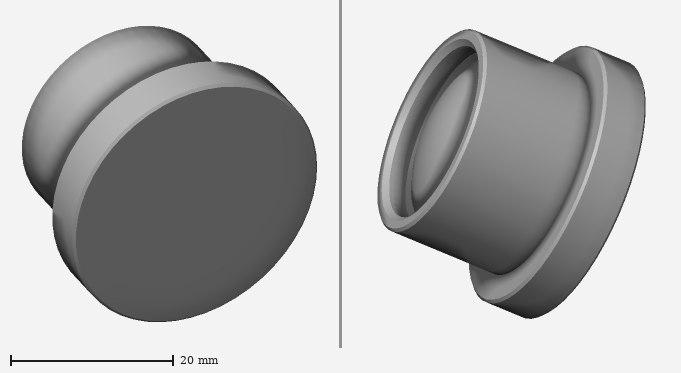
import cadquery as cq
import math

length = 21.0
flange_radius = 34 / 2
flange_thickness = 6.0
barrel_radius = 26.8 / 2
edge_chamfer = 0.35

bore_radius = 22.6 / 2
mouth_chamfer = 0.68
seat_depth = 2.95
seat_inner_radius = 21.4 / 2
relief_width = 0.6
relief_depth = 0.1

lens_radius = 10.37
lens_bevel_depth = 0.3
lens_sphere_radius = 20.4

flange_front = length - flange_thickness
seat_end = seat_depth + bore_radius - seat_inner_radius
lens_edge = seat_end - lens_bevel_depth


def dome_height(radius):
    """Height of the spherical lens face above its edge, at a distance from the axis."""
    edge_offset = math.sqrt(lens_sphere_radius**2 - lens_radius**2)
    return math.sqrt(lens_sphere_radius**2 - radius**2) - edge_offset


profile = (
    cq.Workplane("XY")
    .moveTo(length, 0)
    .lineTo(length, flange_radius - edge_chamfer)
    .lineTo(length - edge_chamfer, flange_radius)
    .lineTo(flange_front + edge_chamfer, flange_radius)
    .lineTo(flange_front, flange_radius - edge_chamfer)
    .lineTo(flange_front, barrel_radius)
    .lineTo(edge_chamfer, barrel_radius)
    .lineTo(0, barrel_radius - edge_chamfer)
    .lineTo(0, bore_radius + mouth_chamfer)
    .lineTo(mouth_chamfer, bore_radius)
    .lineTo(seat_depth - relief_width, bore_radius)
    .lineTo(seat_depth - relief_width, bore_radius + relief_depth)
    .lineTo(seat_depth, bore_radius + relief_depth)
    .lineTo(seat_depth, bore_radius)
    .lineTo(seat_end, seat_inner_radius)
    .lineTo(lens_edge, lens_radius)
    .threePointArc(
        (lens_edge - dome_height(lens_radius / 2), lens_radius / 2),
        (lens_edge - dome_height(0), 0),
    )
    .close()
)

result = profile.revolve(360, (0, 0, 0), (1, 0, 0))